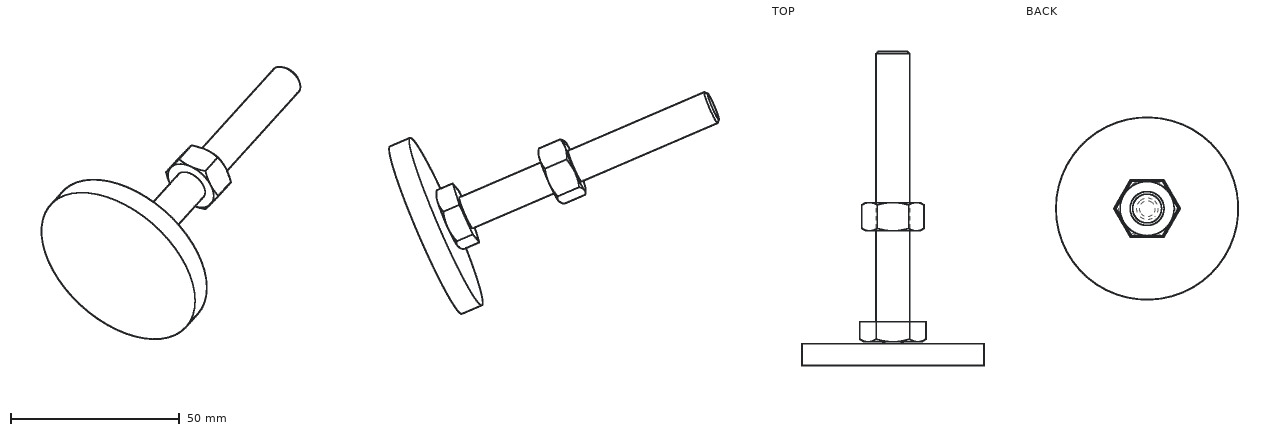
import cadquery as cq
import math

TOTAL_LENGTH = 93.0

FOOT_DIAMETER = 54.0
FOOT_THICKNESS = 6.5

NECK_FOOT_DIAMETER = 6.3
NECK_HEX_DIAMETER = 4.65
NECK_LENGTH = 0.6

STUD_DIAMETER = 10.0
STUD_TIP_CHAMFER = 0.7
STUD_HEX_FLATS = 17.0
STUD_HEX_HEIGHT = 5.95

NUT_FLATS = 16.0
NUT_HEIGHT = 8.4
NUT_START = 39.9

HEX_HALF_SECTOR = 30.0
HEX_CHAMFER_ANGLE = 30.0

STUD_HEX_START = FOOT_THICKNESS + NECK_LENGTH
SHANK_START = STUD_HEX_START + STUD_HEX_HEIGHT


def cylinder(diameter, start, end):
    """Round bar along Y between two positions."""
    base = cq.Workplane("XZ", origin=(0, start, 0))
    return base.circle(diameter / 2).extrude(start - end)


def chamfered_hexagon(flats, height, start, chamfer_far_end):
    """Hexagonal prism along Y, corners on the X axis, cut by a cone at one or both ends."""
    corners = flats / math.cos(math.radians(HEX_HALF_SECTOR))
    prism = cq.Workplane("XZ", origin=(0, start, 0)).polygon(6, corners).extrude(-height)

    corner_radius = corners / 2
    face_radius = flats / 2
    drop = (corner_radius - face_radius) * math.tan(math.radians(HEX_CHAMFER_ANGLE))
    end = start + height
    profile = cq.Workplane("XY").moveTo(0, start).lineTo(face_radius, start)
    profile = profile.lineTo(corner_radius, start + drop)
    if chamfer_far_end:
        profile = profile.lineTo(corner_radius, end - drop).lineTo(face_radius, end)
    else:
        profile = profile.lineTo(corner_radius, end)
    envelope = profile.lineTo(0, end).close().revolve(360, (0, 0, 0), (0, 1, 0))
    return prism.intersect(envelope)


def make_foot():
    """Plain round base plate."""
    return cylinder(FOOT_DIAMETER, 0, FOOT_THICKNESS)


def make_neck():
    """Conical neck of the stud, widening from its hexagon down to the foot."""
    profile = cq.Workplane("XY").moveTo(0, FOOT_THICKNESS)
    profile = profile.lineTo(NECK_FOOT_DIAMETER / 2, FOOT_THICKNESS)
    profile = profile.lineTo(NECK_HEX_DIAMETER / 2, STUD_HEX_START)
    profile = profile.lineTo(0, STUD_HEX_START).close()
    return profile.revolve(360, (0, 0, 0), (0, 1, 0))


def make_stud():
    """Shank with a chamfered tip, a hexagon at its lower end and a conical neck on the foot."""
    shank = cylinder(STUD_DIAMETER, SHANK_START, TOTAL_LENGTH)
    shank = shank.faces(">Y").chamfer(STUD_TIP_CHAMFER)
    hexagon = chamfered_hexagon(STUD_HEX_FLATS, STUD_HEX_HEIGHT, STUD_HEX_START, False)
    return shank.union(hexagon).union(make_neck())


def make_nut():
    """Lock nut, chamfered at both ends, bored to fit the shank."""
    nut_end = NUT_START + NUT_HEIGHT
    blank = chamfered_hexagon(NUT_FLATS, NUT_HEIGHT, NUT_START, True)
    return blank.cut(cylinder(STUD_DIAMETER, NUT_START, nut_end))


foot = make_foot()
stud = make_stud()
nut = make_nut()

result = cq.Compound.makeCompound([foot.val(), stud.val(), nut.val()])